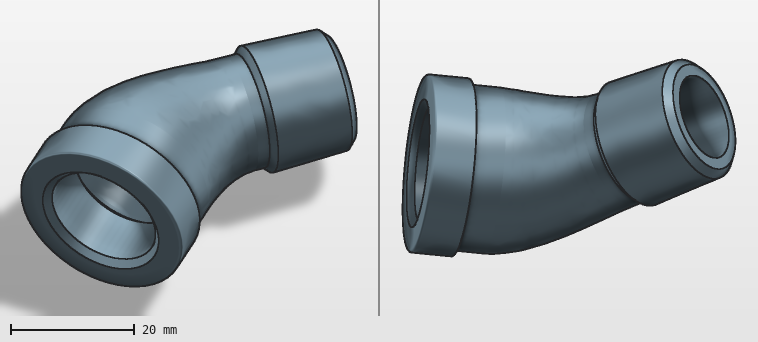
import cadquery as cq
import math


BEND_ANGLE = 45.0
CORNER_Y = 21.0
INLET_STRAIGHT = 12.0
OUTLET_LENGTH = 31.15
REDUCER_END = 14.0
BEND_HANDLE = 6.3
BEND_SECTIONS = 9

COLLAR_DIAMETER = 29.0
COLLAR_WIDTH = 7.05
FACE_ROUND = 0.5
SHOULDER_ROUND = 0.3
BODY_DIAMETER = 27.05
THREAD_BORE = 18.55
RELIEF_BORE = 20.8
THREAD_END = 10.0

NECK_DIAMETER = 19.05
MALE_DIAMETER = 21.2
MALE_LENGTH = 15.15
MALE_TAPER = 1 / 16
MALE_TIP_CHAMFER = 1.25
OUTLET_BORE = 14.0

BEND_SIN = math.sin(math.radians(BEND_ANGLE))
BEND_COS = math.cos(math.radians(BEND_ANGLE))


def bend_plane(t):
    """Plane across the bend, from t = 0 at the inlet to t = 1 at the outlet.

    Its origin follows a cubic Bezier curve and its direction turns at an even rate.
    """
    handle_run = REDUCER_END - BEND_HANDLE
    poles = [
        (0, INLET_STRAIGHT),
        (0, INLET_STRAIGHT + BEND_HANDLE),
        (handle_run * BEND_SIN, CORNER_Y + handle_run * BEND_COS),
        (REDUCER_END * BEND_SIN, CORNER_Y + REDUCER_END * BEND_COS),
    ]
    s = 1 - t
    weights = (s**3, 3 * s**2 * t, 3 * s * t**2, t**3)
    x = sum(weight * pole[0] for weight, pole in zip(weights, poles))
    y = sum(weight * pole[1] for weight, pole in zip(weights, poles))
    turn = math.radians(BEND_ANGLE * t)
    return cq.Plane(origin=(x, y, 0), xDir=(0, 0, 1), normal=(math.sin(turn), math.cos(turn), 0))


def reducing_bend(start_diameter, end_diameter):
    """Loft of circles along the bend, easing smoothly from one diameter to the other."""
    sections = []
    for i in range(BEND_SECTIONS):
        t = i / (BEND_SECTIONS - 1)
        ease = t * t * (3 - 2 * t)
        radius = (start_diameter + (end_diameter - start_diameter) * ease) / 2
        sections.append(cq.Workplane(bend_plane(t)).circle(radius).val())
    return cq.Workplane(cq.Solid.makeLoft(sections))


def turned(points):
    """Solid of revolution about the Y axis from (radius, Y) points."""
    return cq.Workplane("XY").polyline(points).close().revolve(360, (0, 0), (0, 1))


def onto_outlet_axis(solid):
    """Move a solid from the Y axis onto the outlet axis, its origin going to the corner."""
    return solid.rotate((0, 0, 0), (0, 0, 1), -BEND_ANGLE).translate((0, CORNER_Y, 0))


def inlet_body():
    body_r = BODY_DIAMETER / 2
    collar_r = COLLAR_DIAMETER / 2
    body = turned([
        (0, 0),
        (collar_r, 0),
        (collar_r, COLLAR_WIDTH),
        (body_r, COLLAR_WIDTH),
        (body_r, INLET_STRAIGHT),
        (0, INLET_STRAIGHT),
    ])
    face_edge = cq.selectors.RadiusNthSelector(-1)
    body = body.faces("<Y").edges(face_edge).fillet(FACE_ROUND)
    shoulder = cq.selectors.BoxSelector(
        (-collar_r, COLLAR_WIDTH - SHOULDER_ROUND, -collar_r),
        (collar_r, COLLAR_WIDTH + SHOULDER_ROUND, collar_r),
    )
    return body.edges(shoulder).edges("%CIRCLE").fillet(SHOULDER_ROUND)


def inlet_bore():
    """Countersunk thread bore, flaring at its end into a wider relief."""
    thread_r = THREAD_BORE / 2
    relief_r = RELIEF_BORE / 2
    flare = relief_r - thread_r
    return turned([
        (0, 0),
        (relief_r, 0),
        (thread_r, flare),
        (thread_r, THREAD_END),
        (relief_r, THREAD_END + flare),
        (relief_r, INLET_STRAIGHT),
        (0, INLET_STRAIGHT),
    ])


def outlet_body():
    neck_r = NECK_DIAMETER / 2
    root_r = MALE_DIAMETER / 2
    tip_r = root_r - MALE_LENGTH * MALE_TAPER / 2
    root = OUTLET_LENGTH - MALE_LENGTH
    return onto_outlet_axis(turned([
        (0, REDUCER_END),
        (neck_r, REDUCER_END),
        (neck_r, root),
        (root_r, root + root_r - neck_r),
        (tip_r, OUTLET_LENGTH - MALE_TIP_CHAMFER),
        (tip_r - MALE_TIP_CHAMFER, OUTLET_LENGTH),
        (0, OUTLET_LENGTH),
    ]))


def outlet_bore():
    bore_r = OUTLET_BORE / 2
    return onto_outlet_axis(turned([
        (0, REDUCER_END),
        (bore_r, REDUCER_END),
        (bore_r, OUTLET_LENGTH),
        (0, OUTLET_LENGTH),
    ]))


outside = inlet_body().union(reducing_bend(BODY_DIAMETER, NECK_DIAMETER)).union(outlet_body())
passage = inlet_bore().union(reducing_bend(RELIEF_BORE, OUTLET_BORE)).union(outlet_bore())
result = outside.cut(passage)